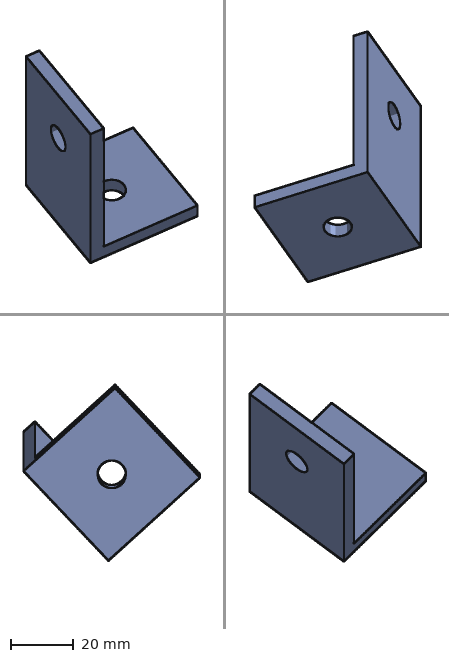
import cadquery as cq

height = 60.0
width = height * 2 / 3
depth = width
thickness = height / 12
hole_diameter = 9.0
hole_edge_distance = width / 2


def angle_profile():
    """L-shaped section in the YZ plane, outer corner at the origin, extruded along X."""
    outline = [
        (0, 0),
        (depth, 0),
        (depth, thickness),
        (thickness, thickness),
        (thickness, height),
        (0, height),
    ]
    return cq.Workplane("YZ").polyline(outline).close().extrude(width)


def wall_hole():
    """Cutter along Y through the upright leg."""
    hole_height = height - hole_edge_distance
    return (
        cq.Workplane("XZ")
        .center(width / 2, hole_height)
        .circle(hole_diameter / 2)
        .extrude(-thickness)
    )


def base_hole():
    """Cutter along Z through the horizontal leg."""
    return (
        cq.Workplane("XY")
        .center(width / 2, depth - hole_edge_distance)
        .circle(hole_diameter / 2)
        .extrude(thickness)
    )


result = angle_profile().cut(wall_hole()).cut(base_hole())